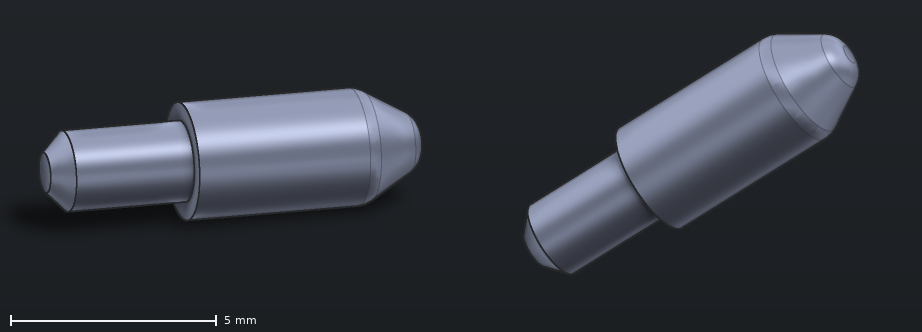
import cadquery as cq
import math

total_length = 9.5
stem_length = 3.5

stem_diameter = 1.995
stem_chamfer = 0.5

head_diameter = 2.9
nose_length = 1.5
nose_half_angle = 30.0
nose_rounding = 0.6


def make_stem():
    """Pin from Y = 0, ending flat against the head's back face."""
    stem = cq.Workplane("XZ").circle(stem_diameter / 2).extrude(-stem_length)
    return stem.faces("<Y").chamfer(stem_chamfer)


def make_head():
    """Revolved head whose nose is rounded at the shoulder and at the tip."""
    head_radius = head_diameter / 2
    tip_radius = head_radius - nose_length * math.tan(math.radians(nose_half_angle))
    shoulder_y = total_length - nose_length
    head = (
        cq.Workplane("XY")
        .moveTo(0, stem_length)
        .lineTo(head_radius, stem_length)
        .lineTo(head_radius, shoulder_y)
        .lineTo(tip_radius, total_length)
        .lineTo(0, total_length)
        .close()
        .revolve(360, (0, 0, 0), (0, 1, 0))
    )
    nose_edges = head.faces("%CONE").edges("%CIRCLE")
    return nose_edges.fillet(nose_rounding)


stem = make_stem()
head = make_head()

result = cq.Compound.makeCompound([stem.val(), head.val()])